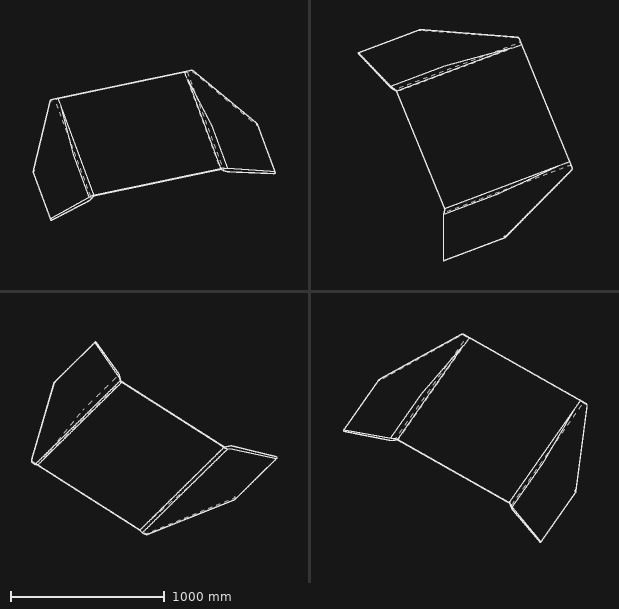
import cadquery as cq
import math

length = 1011.34
width = 1514.93
height = 39.83
half_width = width / 2

front_half_width = 479
front_corner_chamfer = 6
wing_tip_front_x = 584
floor_rear_x = 873
floor_rear_half_width = 433
ridge_rear_x = 898

floor_half_width = 428
floor_top_z = 18.2
ridge_y = 467
ridge_z = 36.8
floor_bottom_z = 10
keel_inner_y = 426
keel_y = 447
tip_radius = 11.2

floor_front_x = 72
ridge_front_x = 520

clearance = 10


def tangent_point(point, center, radius, side):
    """Point where a line from `point` touches the circle; side is +1 for above, -1 for below."""
    dy = point[0] - center[0]
    dz = point[1] - center[1]
    toward_point = math.atan2(dz, dy) % (2 * math.pi)
    opening = math.acos(radius / math.hypot(dy, dz))
    angle = toward_point - side * opening
    return (center[0] + radius * math.cos(angle), center[1] + radius * math.sin(angle))


def cross_section():
    """Half section, constant along X: thin floor, keel below, ridge above and a wing with a round tip."""
    ridge = (ridge_y, ridge_z)
    keel = (keel_y, 0)
    tip_center = (half_width - tip_radius, height - tip_radius)
    profile = (
        cq.Workplane("YZ")
        .moveTo(0, floor_bottom_z)
        .lineTo(keel_inner_y, floor_bottom_z)
        .lineTo(*keel)
        .lineTo(*tangent_point(keel, tip_center, tip_radius, -1))
        .threePointArc((half_width, tip_center[1]), tangent_point(ridge, tip_center, tip_radius, 1))
        .lineTo(*ridge)
        .lineTo(floor_half_width, floor_top_z)
        .lineTo(0, floor_top_z)
        .close()
    )
    return profile.extrude(length)


def plan_outline():
    """Half outline seen along Z, as a vertical prism with a chamfered front corner."""
    points = [
        (0, 0),
        (floor_rear_x, 0),
        (floor_rear_x, floor_rear_half_width),
        (ridge_rear_x, ridge_y),
        (length, half_width),
        (wing_tip_front_x, half_width),
        (0, front_half_width),
    ]
    prism = cq.Workplane("XY").polyline(points).close().extrude(height)
    front_corner = cq.selectors.NearestToPointSelector((0, front_half_width, height / 2))
    return prism.edges("|Z").edges(front_corner).chamfer(front_corner_chamfer)


def ramp_cut():
    """Everything above the front ramp."""
    slope = (ridge_z - floor_top_z) / (ridge_front_x - floor_front_x)
    front_edge_z = floor_top_z - slope * floor_front_x
    top_z = height + clearance
    points = [
        (0, front_edge_z),
        ((top_z - front_edge_z) / slope, top_z),
        (0, top_z),
    ]
    return cq.Workplane("XZ").polyline(points).close().extrude(-width)


half = cross_section().intersect(plan_outline()).cut(ramp_cut())
result = half.union(half.mirror("XZ")).clean()